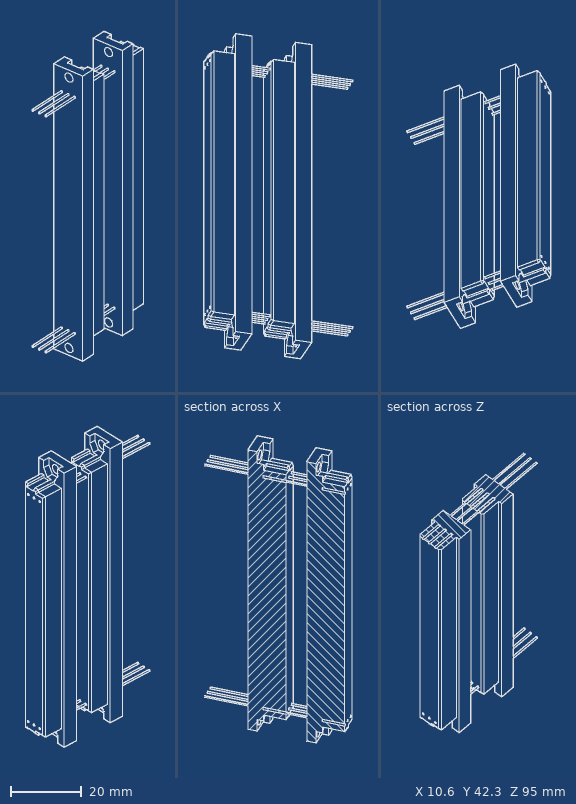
import cadquery as cq
import math

FLANGE_WIDTH = 10.6
FLANGE_DEPTH = 4.8
FLANGE_LENGTH = 95.0

BLOCK_WIDTH = 8.4
BLOCK_DEPTH = 6.7
END_STEP = 0.9
STEP_EDGE_X = -1.2
GROOVE_START_X = 0.2
GROOVE_END_X = 3.0
LEAD_IN_CHAMFER = 0.62

HOLE_DIAMETER = 2.85
HOLE_X = 0.3
HOLE_END_DISTANCE = 2.5
NUT_ACROSS_FLATS = 5.0
NUT_POCKET_DEPTH = 2.0

PIN_DIAMETER = 0.62
PIN_LENGTH = 13.0
PIN_SPACING_X = 2.4
PIN_ROW_Z = 39.3

CONNECTOR_COUNT = 2
STACK_PITCH = 17.8

MATING_FACE_Y = FLANGE_DEPTH + BLOCK_DEPTH
HOLE_Z = FLANGE_LENGTH / 2 - HOLE_END_DISTANCE
NUT_ACROSS_CORNERS = NUT_ACROSS_FLATS / math.cos(math.pi / 6)
BLOCK_END_Z = HOLE_Z - NUT_ACROSS_FLATS / 2
STEP_Z = BLOCK_END_Z - END_STEP
SOCKET_DEPTH = PIN_LENGTH - (STACK_PITCH - MATING_FACE_Y)
STACK_FRONT_Y = -((CONNECTOR_COUNT - 1) * STACK_PITCH + MATING_FACE_Y - PIN_LENGTH) / 2

PIN_POSITIONS = [
    (column * PIN_SPACING_X, row * PIN_ROW_Z)
    for column in (-1, 0, 1)
    for row in (-1, 1)
]
HOLE_POSITIONS = [(HOLE_X, -HOLE_Z), (HOLE_X, HOLE_Z)]


def box_between(x_range, y_range, z_range):
    """Box spanning the given (low, high) ranges."""
    sizes = [high - low for low, high in (x_range, y_range, z_range)]
    corner = (x_range[0], y_range[0], z_range[0])
    return cq.Workplane("XY").box(*sizes, centered=False).translate(corner)


def plane_at(y):
    """XZ workplane at the given Y; its local axes are X and Z, and its normal is -Y."""
    return cq.Workplane("XZ", origin=(0, y, 0))


def make_flange():
    return plane_at(FLANGE_DEPTH).rect(FLANGE_WIDTH, FLANGE_LENGTH).extrude(FLANGE_DEPTH)


def make_block():
    """Mating block with stepped ends, a lead-in around its mating face and end grooves."""
    half_width = BLOCK_WIDTH / 2
    outline = [
        (-half_width, -STEP_Z),
        (STEP_EDGE_X, -STEP_Z),
        (STEP_EDGE_X, -BLOCK_END_Z),
        (half_width, -BLOCK_END_Z),
        (half_width, BLOCK_END_Z),
        (STEP_EDGE_X, BLOCK_END_Z),
        (STEP_EDGE_X, STEP_Z),
        (-half_width, STEP_Z),
    ]
    block = plane_at(MATING_FACE_Y).polyline(outline).close().extrude(BLOCK_DEPTH)
    block = block.faces(">Y").chamfer(LEAD_IN_CHAMFER)
    for z_range in ((STEP_Z, BLOCK_END_Z), (-BLOCK_END_Z, -STEP_Z)):
        groove = box_between((GROOVE_START_X, GROOVE_END_X), (FLANGE_DEPTH, MATING_FACE_Y), z_range)
        block = block.cut(groove)
    return block


def make_nut_pockets():
    """Hexagons around the holes, widened to a straight slot out to each flange end."""
    half_width = NUT_ACROSS_CORNERS / 2
    slot_x = (HOLE_X - half_width, HOLE_X + half_width)
    slot_y = (FLANGE_DEPTH - NUT_POCKET_DEPTH, FLANGE_DEPTH)
    pockets = (
        plane_at(FLANGE_DEPTH)
        .pushPoints(HOLE_POSITIONS)
        .polygon(6, NUT_ACROSS_CORNERS)
        .extrude(NUT_POCKET_DEPTH)
    )
    for z_range in ((HOLE_Z, FLANGE_LENGTH / 2), (-FLANGE_LENGTH / 2, -HOLE_Z)):
        pockets = pockets.union(box_between(slot_x, slot_y, z_range))
    return pockets


def make_mounting_holes():
    return plane_at(FLANGE_DEPTH).pushPoints(HOLE_POSITIONS).circle(HOLE_DIAMETER / 2).extrude(FLANGE_DEPTH)


def make_pins():
    return plane_at(0).pushPoints(PIN_POSITIONS).circle(PIN_DIAMETER / 2).extrude(PIN_LENGTH)


def make_sockets():
    return plane_at(MATING_FACE_Y).pushPoints(PIN_POSITIONS).circle(PIN_DIAMETER / 2).extrude(SOCKET_DEPTH)


def make_connector(front_y):
    """One connector whose flange front lies at front_y, with its pins pointing to -Y."""
    connector = make_flange().cut(make_nut_pockets()).cut(make_mounting_holes())
    connector = connector.union(make_block()).cut(make_sockets()).union(make_pins())
    return connector.translate((0, front_y, 0))


connectors = []
for index in range(CONNECTOR_COUNT):
    connector = make_connector(STACK_FRONT_Y + index * STACK_PITCH)
    connectors.append(connector.val())

result = cq.Compound.makeCompound(connectors)